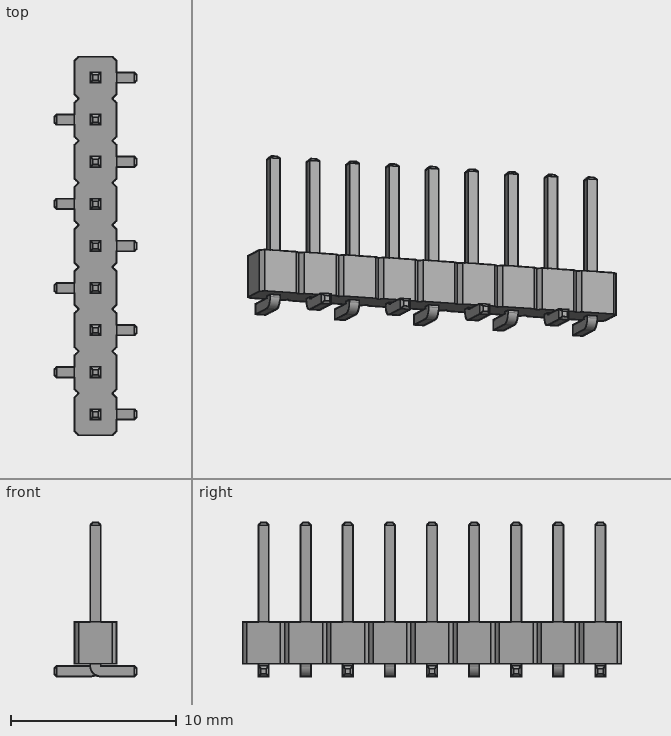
import cadquery as cq

pin_count = 9
pitch = 2.54
housing_width = 2.54
housing_height = 2.54
corner_cut = pitch / 10

wire = 0.64
foot_reach = 2.5
overall_height = 9.3
housing_bottom = 0.76
tip_chamfer = wire / 4
bend_radius = wire


def housing_cell(y):
    """One housing block with its four vertical edges cut off."""
    half_x = housing_width / 2
    half_y = pitch / 2
    flat_x = half_x - corner_cut
    flat_y = half_y - corner_cut
    outline = [
        (half_x, -flat_y),
        (half_x, flat_y),
        (flat_x, half_y),
        (-flat_x, half_y),
        (-half_x, flat_y),
        (-half_x, -flat_y),
        (-flat_x, -half_y),
        (flat_x, -half_y),
    ]
    cell = cq.Workplane("XY").polyline(outline).close().extrude(housing_height)
    return cell.translate((0, y, housing_bottom))


def tapered_tip(base):
    """Blunt pyramid on a plane at the end of the wire, pointing along the plane normal."""
    tip_width = wire - 2 * tip_chamfer
    return (
        base.rect(wire, wire)
        .workplane(offset=tip_chamfer)
        .rect(tip_width, tip_width)
        .loft(ruled=True)
    )


def bent_pin():
    """Upright pin whose foot points toward +X, centred on Y = 0."""
    half = wire / 2
    stem_top = overall_height - tip_chamfer
    foot_end = foot_reach - tip_chamfer
    wire_body = (
        cq.Workplane("XZ")
        .moveTo(-half, stem_top)
        .lineTo(-half, bend_radius)
        .radiusArc((-half + bend_radius, 0), -bend_radius)
        .lineTo(foot_end, 0)
        .lineTo(foot_end, wire)
        .lineTo(half, wire)
        .lineTo(half, stem_top)
        .close()
        .extrude(half, both=True)
    )
    upper_tip = tapered_tip(cq.Workplane("XY", origin=(0, 0, stem_top)))
    foot_tip = tapered_tip(cq.Workplane("YZ", origin=(foot_end, 0, half)))
    return wire_body.union(upper_tip).union(foot_tip)


right_pin = bent_pin()
left_pin = right_pin.rotate((0, 0, 0), (0, 0, 1), 180)
row_start = -(pin_count - 1) * pitch / 2

housing = housing_cell(row_start)
for index in range(1, pin_count):
    housing = housing.union(housing_cell(row_start + index * pitch))

result = housing
for index in range(pin_count):
    pin = right_pin if index % 2 == 0 else left_pin
    result = result.union(pin.translate((0, row_start + index * pitch, 0)))